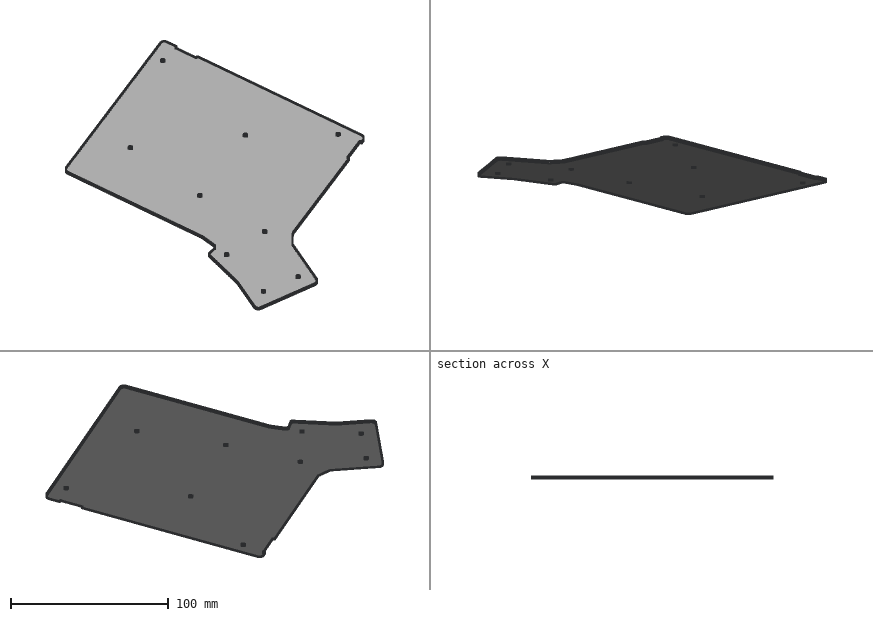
import cadquery as cq
import math

thickness = 1.5
main_width = 150.0
main_height = 121.5
overall_width = 183.2
overall_height = 152.5
corner_radius = 3.0

wing_angle = math.radians(30)
wing_width = 45.0
wing_upper_length = 34.3
wing_lower_length = 25.0
neck_top_y = 32.0
knee_radius = 3.0

lower_bend_x = 102.5
step_upper = (114.3, -2.4)
step_lower = (112.8, -10.0)
step_upper_radius = 2.2
step_lower_radius = 1.5

notch_length = 15.4
notch_depth = 1.3
top_notch_x = 10.0
right_notch_top_y = 116.7

hole_diameter = 2.2
hole_centers = [
    (8.5, 107.3),
    (134.1, 114.3),
    (84.0, 83.4),
    (26.7, 37.2),
    (84.0, 27.3),
    (134.1, 23.8),
    (123.0, -4.4),
    (171.0, 3.8),
    (158.1, -17.4),
]

corner_overshoot = corner_radius * (math.cos(wing_angle) + math.sin(wing_angle) - 1)
tip_lower_y = main_height - overall_height - corner_overshoot
tip_upper = (
    overall_width + corner_overshoot,
    tip_lower_y + wing_width * math.cos(wing_angle),
)
tip_lower = (tip_upper[0] - wing_width * math.sin(wing_angle), tip_lower_y)


def back_along_wing(point, length):
    """Return the point reached by going from the tip towards the main area."""
    x, y = point
    return (x - length * math.cos(wing_angle), y + length * math.sin(wing_angle))


knee = back_along_wing(tip_upper, wing_upper_length)
lower_wing_bend = back_along_wing(tip_lower, wing_lower_length)


def make_plate():
    """Extrude the outline with sharp corners."""
    outline = [
        (0, 0),
        (lower_bend_x, 0),
        step_upper,
        step_lower,
        lower_wing_bend,
        tip_lower,
        tip_upper,
        knee,
        (main_width, neck_top_y),
        (main_width, main_height),
        (0, main_height),
    ]
    return cq.Workplane("XY").polyline(outline).close().extrude(thickness)


def round_corners(plate, points, radius):
    """Round the upright edges that stand at the given points."""
    for x, y in points:
        edge = cq.selectors.NearestToPointSelector((x, y, thickness / 2))
        plate = plate.edges("|Z").edges(edge).fillet(radius)
    return plate


def cut_notch(plate, corner, size_x, size_y):
    """Cut a rectangular notch from its lower left corner."""
    notch = cq.Workplane("XY").center(*corner).rect(size_x, size_y, centered=False)
    return plate.cut(notch.extrude(thickness))


plate = make_plate()
outer_corners = [(0, 0), (0, main_height), (main_width, main_height), tip_lower, tip_upper]
plate = round_corners(plate, outer_corners, corner_radius)
plate = round_corners(plate, [knee], knee_radius)
plate = round_corners(plate, [step_upper], step_upper_radius)
plate = round_corners(plate, [step_lower], step_lower_radius)

top_notch = (top_notch_x, main_height - notch_depth)
right_notch = (main_width - notch_depth, right_notch_top_y - notch_length)
plate = cut_notch(plate, top_notch, notch_length, notch_depth)
plate = cut_notch(plate, right_notch, notch_depth, notch_length)

holes = cq.Workplane("XY").pushPoints(hole_centers).circle(hole_diameter / 2).extrude(thickness)
result = plate.cut(holes)